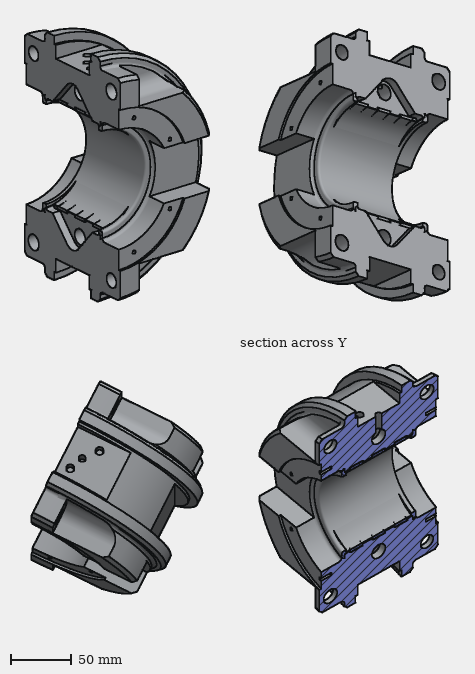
import cadquery as cq
import math


RIM_RADIUS = 110.0
RIM_INNER_X = 24.6
RIM_OUTER_X = 37.0
RIM_CHAMFER = 3.0
GROOVE_RADIUS = 102.5
HUB_RADIUS = 99.9
HUB_HALF_LENGTH = 64.0
HUB_CHAMFER = 3.3
CORNER_FILLET = 3.0
END_BORE_RADIUS = 54.0
END_BORE_SHOULDER_X = 40.0
FACE_RECESS_RADIUS = 72.4
FACE_RECESS_DEPTH = 2.2

BORE_RADIUS = 90.0 / 2
BORE_FILLET = 2.0
LINING_RADIUS = 48.2
LINING_FLANGE_RADIUS = 52.8
LINING_FLANGE_X = 37.0
SEAT_CHAMFER = 1.3
DOVETAIL_PITCH = 24.0
DOVETAIL_RADIUS = 50.2
DOVETAIL_ROOT_HALF_WIDTH = 6.0
DOVETAIL_TOP_HALF_WIDTH = 7.0

FLAT_HALF_WIDTH = 22.2
FLAT_OFFSET = 90.0
SIDE_SLOT_HALF_HEIGHT = 24.9
SIDE_SLOT_FLOOR_X = 42.5
BOLT_FLANGE_THICKNESS = 20.0
BOLT_X = 52.0
BOLT_Z = 85.0
BOLT_SEAT_RADIUS = 14.0
BOLT_HOLE_DIAMETER = 14.0
DOWEL_HOLE_DIAMETER = 13.0

OIL_BORE_DIAMETER = 14.0
OIL_BORE_Z = 65.0
OIL_BORE_DEPTH = 22.0
OIL_RECESS_DEPTH = 8.0
OIL_RECESS_TIP_RADIUS = 10.0
OIL_RECESS_HALF_ANGLE = 42.0
POCKET_HALF_LENGTH = 35.0
POCKET_TOP_Z = 50.2
POCKET_FILLET = 2.0
POCKET_RADIUS = 39.4
POCKET_CENTRE_Z = 8.4

FEED_HOLE_DIAMETER = 6.0
FEED_HOLE_Y = 15.2
SCREW_HOLE_DIAMETER = 6.8
SCREW_HOLE_DEPTH = 13.2
SCREW_HOLE_PLACES = [(-12.0, 25.3), (11.9, 10.1)]
PIN_HOLE_DIAMETER = 3.0
PIN_HOLE_DEPTH = 11.0
PIN_CIRCLE_RADIUS = 62.5
PIN_ANGLES = [30.0, 75.0]

MARGIN = 22.0
SIDES = (-1, 1)


def block(x_range, y_range, z_range):
    """Box between the given limits."""
    x0, x1 = x_range
    y0, y1 = y_range
    z0, z1 = z_range
    return cq.Workplane("XY").box(x1 - x0, y1 - y0, z1 - z0, centered=False).translate((x0, y0, z0))


def both_ends(half):
    """The +X half joined to its mirror image."""
    return half.union(half.mirror("YZ"))


def turned_body():
    """Half ring, housing and lining together, from one profile of X against radius."""
    cos45 = math.sqrt(0.5)
    outer_centre = (RIM_OUTER_X + CORNER_FILLET, HUB_RADIUS + CORNER_FILLET)
    bore_centre = (END_BORE_SHOULDER_X + CORNER_FILLET, END_BORE_RADIUS - CORNER_FILLET)
    lip_centre = (END_BORE_SHOULDER_X - BORE_FILLET, BORE_RADIUS + BORE_FILLET)
    recess_floor_x = HUB_HALF_LENGTH - FACE_RECESS_DEPTH
    half = (
        cq.Workplane("XY")
        .moveTo(0, BORE_RADIUS)
        .lineTo(0, GROOVE_RADIUS)
        .lineTo(RIM_INNER_X, GROOVE_RADIUS)
        .lineTo(RIM_INNER_X, RIM_RADIUS)
        .lineTo(RIM_OUTER_X - RIM_CHAMFER, RIM_RADIUS)
        .lineTo(RIM_OUTER_X, RIM_RADIUS - RIM_CHAMFER)
        .lineTo(RIM_OUTER_X, outer_centre[1])
        .threePointArc(
            (outer_centre[0] - CORNER_FILLET * cos45, outer_centre[1] - CORNER_FILLET * cos45),
            (outer_centre[0], HUB_RADIUS),
        )
        .lineTo(HUB_HALF_LENGTH - HUB_CHAMFER, HUB_RADIUS)
        .lineTo(HUB_HALF_LENGTH, HUB_RADIUS - HUB_CHAMFER)
        .lineTo(HUB_HALF_LENGTH, FACE_RECESS_RADIUS)
        .lineTo(recess_floor_x, FACE_RECESS_RADIUS)
        .lineTo(recess_floor_x, END_BORE_RADIUS)
        .lineTo(bore_centre[0], END_BORE_RADIUS)
        .threePointArc(
            (bore_centre[0] - CORNER_FILLET * cos45, bore_centre[1] + CORNER_FILLET * cos45),
            (END_BORE_SHOULDER_X, bore_centre[1]),
        )
        .lineTo(END_BORE_SHOULDER_X, lip_centre[1])
        .threePointArc(
            (lip_centre[0] + BORE_FILLET * cos45, lip_centre[1] - BORE_FILLET * cos45),
            (lip_centre[0], BORE_RADIUS),
        )
        .close()
        .revolve(360, (0, 0, 0), (1, 0, 0))
    )
    reach = RIM_RADIUS + MARGIN
    return both_ends(half).intersect(block((-reach, reach), (0, reach), (-reach, reach)))


def outer_flats():
    """Shallow square-edged cuts that flatten the groove floor at +Z, -Z and +Y."""
    cut_height = RIM_RADIUS
    width = (-FLAT_HALF_WIDTH, FLAT_HALF_WIDTH)
    flats = block(width, (FLAT_OFFSET, FLAT_OFFSET + cut_height), (-cut_height, cut_height))
    upper = block(width, (-MARGIN, cut_height), (FLAT_OFFSET, FLAT_OFFSET + cut_height))
    return flats.union(upper).union(upper.mirror("XY"))


def side_slots():
    """Slots across both ends, straight through along Y."""
    return both_ends(
        block(
            (SIDE_SLOT_FLOOR_X, HUB_HALF_LENGTH + MARGIN),
            (-MARGIN, RIM_RADIUS),
            (-SIDE_SLOT_HALF_HEIGHT, SIDE_SLOT_HALF_HEIGHT),
        )
    )


def bolt_seats():
    """Corner cut-outs behind the bolt flanges, with a large fillet around each bolt axis."""
    seat = block(
        (BOLT_X - BOLT_SEAT_RADIUS, HUB_HALF_LENGTH + MARGIN),
        (BOLT_FLANGE_THICKNESS, RIM_RADIUS),
        (BOLT_Z - BOLT_SEAT_RADIUS, RIM_RADIUS),
    ).edges("|Y and <X and <Z").fillet(BOLT_SEAT_RADIUS)
    upper = both_ends(seat)
    return upper.union(upper.mirror("XY"))


def split_face_hole(x, z, diameter, depth):
    """Round hole entering the split face along +Y."""
    hole = cq.Solid.makeCylinder(diameter / 2, depth, cq.Vector(x, 0, z), cq.Vector(0, 1, 0))
    return cq.Workplane(hole)


def oil_recess():
    """Recess in the upper split face: a blunt triangle that opens into a long bore pocket."""
    angle = math.radians(OIL_RECESS_HALF_ANGLE)
    tangent_x = OIL_RECESS_TIP_RADIUS * math.cos(angle)
    tangent_z = OIL_BORE_Z + OIL_RECESS_TIP_RADIUS * math.sin(angle)
    base_z = BORE_RADIUS
    base_x = tangent_x + (tangent_z - base_z) * math.tan(angle)
    triangle = (
        cq.Workplane("XZ")
        .moveTo(-base_x, base_z)
        .lineTo(-tangent_x, tangent_z)
        .threePointArc((0, OIL_BORE_Z + OIL_RECESS_TIP_RADIUS), (tangent_x, tangent_z))
        .lineTo(base_x, base_z)
        .close()
        .extrude(-OIL_RECESS_DEPTH)
    )
    slot = block(
        (-POCKET_HALF_LENGTH, POCKET_HALF_LENGTH), (0, OIL_RECESS_DEPTH), (0, POCKET_TOP_Z)
    ).edges("|Y and >Z").fillet(POCKET_FILLET)
    pocket = (
        cq.Workplane("YZ")
        .center(0, POCKET_CENTRE_Z)
        .circle(POCKET_RADIUS)
        .extrude(POCKET_HALF_LENGTH, both=True)
    )
    return triangle.union(slot).union(pocket)


def flat_holes():
    """Oil feed and blind screw holes entering the upper flat along -Z."""
    down = cq.Vector(0, 0, -1)
    feed_top = cq.Vector(0, FEED_HOLE_Y, FLAT_OFFSET)
    holes = cq.Workplane(
        cq.Solid.makeCylinder(FEED_HOLE_DIAMETER / 2, FLAT_OFFSET - OIL_BORE_Z, feed_top, down)
    )
    for x, y in SCREW_HOLE_PLACES:
        top = cq.Vector(x, y, FLAT_OFFSET)
        holes = holes.add(cq.Solid.makeCylinder(SCREW_HOLE_DIAMETER / 2, SCREW_HOLE_DEPTH, top, down))
    return holes


def pin_holes():
    """Blind pin holes in the recessed ends of the housing."""
    floor_x = HUB_HALF_LENGTH - FACE_RECESS_DEPTH
    holes = cq.Workplane("XY")
    for end in SIDES:
        for side in SIDES:
            for angle in PIN_ANGLES:
                y = PIN_CIRCLE_RADIUS * math.cos(math.radians(angle))
                z = PIN_CIRCLE_RADIUS * math.sin(math.radians(angle))
                mouth = cq.Vector(end * floor_x, y, side * z)
                inward = cq.Vector(-end, 0, 0)
                holes = holes.add(
                    cq.Solid.makeCylinder(PIN_HOLE_DIAMETER / 2, PIN_HOLE_DEPTH, mouth, inward)
                )
    return holes


def machined_body():
    """The whole half bearing with every cut made, before it is divided into two bodies."""
    body = turned_body().cut(outer_flats()).cut(side_slots()).cut(bolt_seats())
    for end in SIDES:
        for side in SIDES:
            diameter = BOLT_HOLE_DIAMETER if end == side else DOWEL_HOLE_DIAMETER
            body = body.cut(split_face_hole(end * BOLT_X, side * BOLT_Z, diameter, BOLT_FLANGE_THICKNESS))
    recess = oil_recess()
    body = body.cut(recess).cut(recess.mirror("XY"))
    for side in SIDES:
        body = body.cut(split_face_hole(0, side * OIL_BORE_Z, OIL_BORE_DIAMETER, OIL_BORE_DEPTH))
    for hole in flat_holes().vals() + pin_holes().vals():
        body = body.cut(cq.Workplane(hole))
    return body


def lining_seat():
    """Space that belongs to the lining: a sleeve with tapered end flanges and three dovetail rings."""
    flange_end_radius = END_BORE_RADIUS - CORNER_FILLET
    half_sleeve = (
        cq.Workplane("XY")
        .moveTo(0, 0)
        .lineTo(0, LINING_RADIUS)
        .lineTo(LINING_FLANGE_X - SEAT_CHAMFER, LINING_RADIUS)
        .lineTo(LINING_FLANGE_X, LINING_RADIUS + SEAT_CHAMFER)
        .lineTo(LINING_FLANGE_X, LINING_FLANGE_RADIUS)
        .lineTo(END_BORE_SHOULDER_X, flange_end_radius)
        .lineTo(END_BORE_SHOULDER_X, 0)
        .close()
        .revolve(360, (0, 0, 0), (1, 0, 0))
    )
    seat = both_ends(half_sleeve)
    for x in (-DOVETAIL_PITCH, 0, DOVETAIL_PITCH):
        ring = (
            cq.Workplane("XY")
            .moveTo(x - DOVETAIL_ROOT_HALF_WIDTH, 0)
            .lineTo(x - DOVETAIL_ROOT_HALF_WIDTH, LINING_RADIUS)
            .lineTo(x - DOVETAIL_TOP_HALF_WIDTH, DOVETAIL_RADIUS)
            .lineTo(x + DOVETAIL_TOP_HALF_WIDTH, DOVETAIL_RADIUS)
            .lineTo(x + DOVETAIL_ROOT_HALF_WIDTH, LINING_RADIUS)
            .lineTo(x + DOVETAIL_ROOT_HALF_WIDTH, 0)
            .close()
            .revolve(360, (0, 0, 0), (1, 0, 0))
        )
        seat = seat.union(ring)
    return seat


def make_housing(body, seat):
    """Everything outside the lining seat."""
    return body.cut(seat)


def make_lining(body, seat):
    """Everything inside the lining seat."""
    return body.intersect(seat)


bearing = machined_body()
lining_space = lining_seat()
housing = make_housing(bearing, lining_space)
lining = make_lining(bearing, lining_space)

result = cq.Compound.makeCompound([*housing.solids().vals(), *lining.solids().vals()])